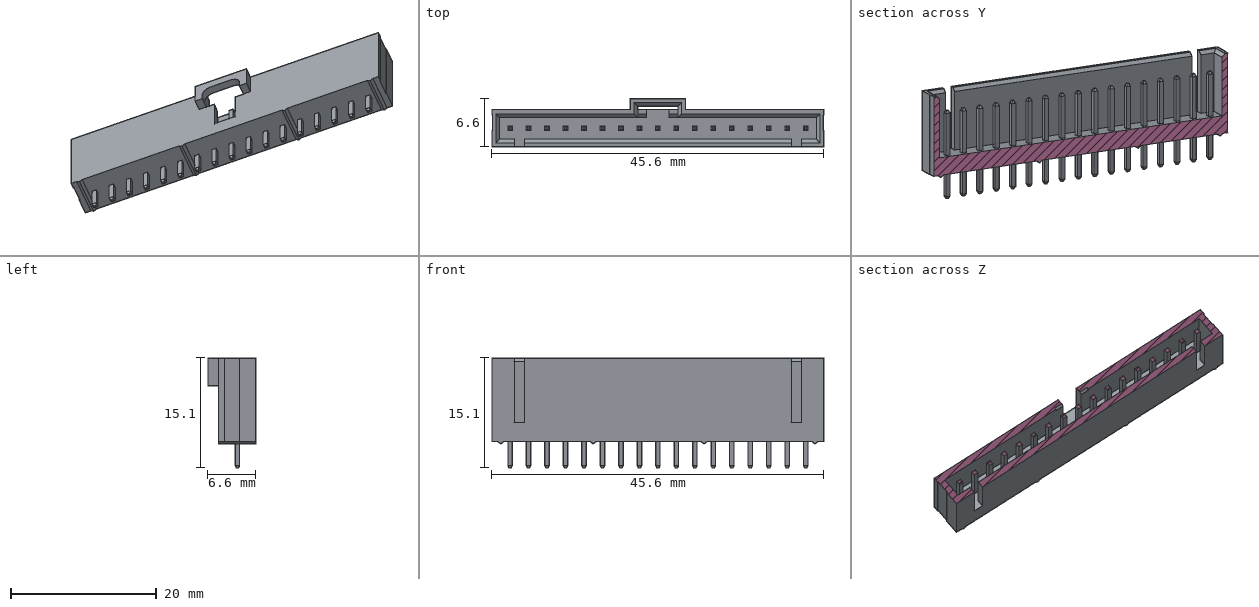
import cadquery as cq

length = 45.65
depth = 5.15
height = 11.45
floor_z = 2.6

end_wall = 1.05
front_wall = 1.05
back_wall = 1.15
cavity_back_y = depth - back_wall
lead_in = 0.5
lead_in_height = 0.45

pin_count = 17
pin_row_length = 40.6
pin_pitch = pin_row_length / (pin_count - 1)
pin_width = 0.65
pin_y = 2.55
pin_bottom_z = -3.65
mating_length = 6.4
pin_top_z = floor_z + mating_length
pin_tip_height = 0.35
pin_tip_width = 0.27

tab_width = 3 * pin_pitch
tab_depth = 1.45
tab_wall = 1.05
tab_height = 3.8
tab_back_height = 1.5
tab_window_radius = 1.35
tab_base_z = height - tab_height
back_notch_width = 3.1

front_slot_width = 1.35
front_slot_x = 19.05

end_recess_depth = 0.1
end_recess_width = 2.1
end_recess_y = 3.3

rib_width = 0.8
rib_height = 0.3
rib_pitch_offsets = (-8.5, -3.5, 2.5, 8.5)


def block(x_range, y_range, z_range):
    """Axis-aligned box between the given limits."""
    (x0, x1), (y0, y1), (z0, z1) = x_range, y_range, z_range
    return cq.Workplane("XY").box(x1 - x0, y1 - y0, z1 - z0, centered=False).translate((x0, y0, z0))


def frustum(bottom_size, top_size, center, z_range):
    """Solid tapering between two rectangles centred above each other."""
    return (
        cq.Workplane("XY", origin=(center[0], center[1], z_range[0]))
        .rect(*bottom_size)
        .workplane(offset=z_range[1] - z_range[0])
        .rect(*top_size)
        .loft(ruled=True)
    )


def pocket(width, y_range, bottom_z, top_z):
    """Rectangular pocket centred on X whose rim opens out along the lead-in."""
    y0, y1 = y_range
    slope_z = top_z - lead_in_height
    straight = block((-width / 2, width / 2), y_range, (bottom_z, slope_z))
    rim = frustum(
        (width, y1 - y0),
        (width + 2 * lead_in, y1 - y0 + 2 * lead_in),
        (0, (y0 + y1) / 2),
        (slope_z, top_z),
    )
    return straight.union(rim)


def shell_with_cavity():
    """Open-topped housing with its main cavity."""
    body = block((-length / 2, length / 2), (0, depth), (0, height))
    return body.cut(pocket(length - 2 * end_wall, (front_wall, cavity_back_y), floor_z, height))


def add_tab(shell):
    """Add the locking tab and open it through the back wall into the cavity."""
    half_tab = tab_width / 2
    half_opening = half_tab - tab_wall
    half_notch = back_notch_width / 2
    back_y = depth + tab_depth

    tab = block((-half_tab, half_tab), (depth, back_y), (tab_base_z, height))
    opening = pocket(2 * half_opening, (pin_y, back_y - tab_wall), tab_base_z, height)
    notch = block((-half_notch, half_notch), (pin_y, depth), (floor_z, tab_base_z))
    window = block(
        (-half_opening, half_opening),
        (depth, back_y),
        (tab_base_z, height - tab_back_height),
    )
    window = window.edges("|Y and >Z").fillet(tab_window_radius)
    ledge_slope = (
        cq.Workplane("YZ")
        .moveTo(cavity_back_y, tab_base_z)
        .lineTo(cavity_back_y + lead_in, tab_base_z)
        .lineTo(cavity_back_y, tab_base_z - lead_in_height)
        .close()
        .extrude(half_opening, both=True)
    )
    return shell.union(tab).cut(opening).cut(notch).cut(window).cut(ledge_slope)


def front_slot(side):
    """Cutter for the front wall slot near one end."""
    left_x = side * front_slot_x - front_slot_width / 2
    return block((left_x, left_x + front_slot_width), (0, pin_y), (floor_z, height))


def end_recess(side):
    """Cutter for the recess in one end wall."""
    recess = cq.Workplane("XY").box(2 * end_recess_depth, end_recess_width, height)
    return recess.translate((side * length / 2, end_recess_y, height / 2))


def standoff_rib(x):
    """Low V-shaped rib running the full depth of the underside."""
    return (
        cq.Workplane("XZ")
        .moveTo(x - rib_width / 2, 0)
        .lineTo(x, -rib_height)
        .lineTo(x + rib_width / 2, 0)
        .close()
        .extrude(-depth)
    )


def pin(x):
    """Square contact with a tapered tip at both ends."""
    shank = (pin_width, pin_width)
    tip = (pin_tip_width, pin_tip_width)
    shank_bottom = pin_bottom_z + pin_tip_height
    shank_top = pin_top_z - pin_tip_height
    lower_tip = frustum(tip, shank, (x, pin_y), (pin_bottom_z, shank_bottom))
    middle = frustum(shank, shank, (x, pin_y), (shank_bottom, shank_top))
    upper_tip = frustum(shank, tip, (x, pin_y), (shank_top, pin_top_z))
    return middle.union(lower_tip).union(upper_tip)


result = add_tab(shell_with_cavity())
for side in (-1, 1):
    result = result.cut(front_slot(side)).cut(end_recess(side))
for offset in rib_pitch_offsets:
    result = result.union(standoff_rib(offset * pin_pitch))
for index in range(pin_count):
    result = result.union(pin(index * pin_pitch - pin_row_length / 2))